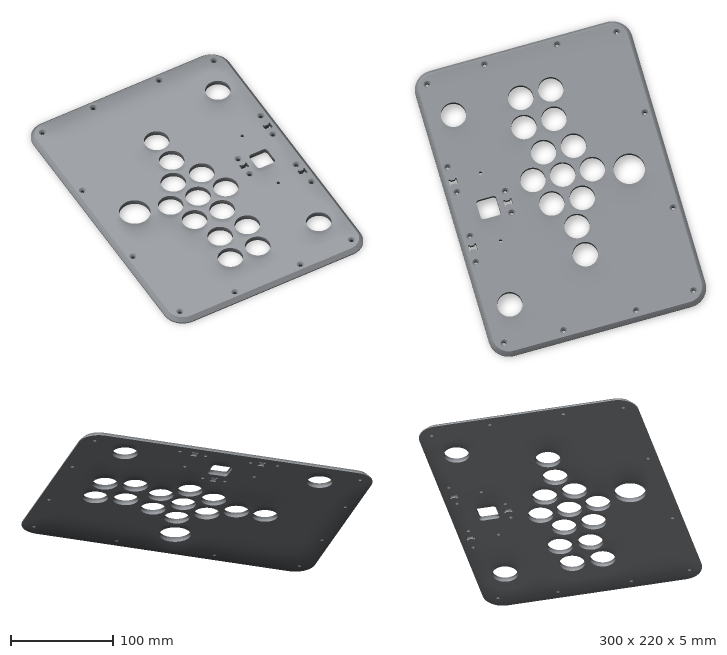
import cadquery as cq

length = 300.0
width = 220.0
thickness = 5.0
corner_radius = 20.0
bevel_inset = 4.0
bevel_height = 4.0

button_diameter = 25.0
large_button_diameter = 31.0
button_centers = [
    (-71.5, -4.8), (-41.7, -4.8),
    (-13.0, 12.5), (15.0, 23.7), (39.3, 6.0),
    (-15.5, -17.7), (12.3, -5.7), (37.5, -24.0), (9.5, -35.0),
    (69.0, 17.5), (98.5, 12.3),
    (69.0, -13.2), (98.5, -18.3),
]
corner_button_x = 100.0
corner_button_y = 80.0
large_button_center = (0, -70.0)

screw_diameter = 3.3
countersink_diameter = 7.2
countersink_angle = 90
edge_screws = [(50.0, 100.2), (136.2, 96.3), (140.0, 37.0)]
upper_bracket_screw = (23.0, 98.5)
lower_bracket_screw = (11.5, 52.8)
pin_hole_diameter = 3.3
pin_hole = (35.7, 71.0)

window_side = 20.0
window_corner_radius = 3.0
window_center = (0, 73.2)

slot_width = 6.3
slot_height = 8.0
slot_waist_width = 4.0
slot_waist_height = 4.5
slot_offset = 34.5
slot_centers = [(-slot_offset, 99.0), (slot_offset, 99.0), (0, 53.0)]


def mirror_x(point):
    """Return the point and its mirror image across the YZ plane."""
    x, y = point
    return [(-x, y), (x, y)]


def mirror_xy(point):
    """Return the point repeated in all four quadrants."""
    x, y = point
    return mirror_x((x, y)) + mirror_x((x, -y))


def make_plate():
    """Rounded plate with a bevel around its upper edge."""
    plate = cq.Workplane("XY").box(length, width, thickness, centered=(True, True, False))
    plate = plate.edges("|Z").fillet(corner_radius)
    return plate.faces(">Z").chamfer(bevel_height, bevel_inset)


def round_cutter(points, diameter):
    """Through-cutting cylinders at the given points."""
    return cq.Workplane("XY").pushPoints(points).circle(diameter / 2).extrude(thickness)


def slot_cutter():
    """Two end bars joined by a narrower waist."""
    end_height = (slot_height - slot_waist_height) / 2
    end_offset = (slot_height - end_height) / 2
    end_centers = [(x, y + side * end_offset) for x, y in slot_centers for side in (-1, 1)]
    ends = cq.Workplane("XY").pushPoints(end_centers).rect(slot_width, end_height).extrude(thickness)
    waists = cq.Workplane("XY").pushPoints(slot_centers).rect(slot_waist_width, slot_height)
    return ends.union(waists.extrude(thickness))


def window_cutter():
    """Square prism with rounded corners."""
    window = cq.Workplane("XY").center(*window_center).rect(window_side, window_side)
    return window.extrude(thickness).edges("|Z").fillet(window_corner_radius)


small_buttons = button_centers + mirror_x((corner_button_x, corner_button_y))
screws = mirror_x(upper_bracket_screw) + mirror_x(lower_bracket_screw)
for screw in edge_screws:
    screws += mirror_xy(screw)

result = make_plate()
result = result.cut(round_cutter(small_buttons, button_diameter))
result = result.cut(round_cutter([large_button_center], large_button_diameter))
result = result.cut(round_cutter(mirror_x(pin_hole), pin_hole_diameter))
result = result.cut(window_cutter())
result = result.cut(slot_cutter())
result = (
    result.faces(">Z")
    .workplane(origin=(0, 0, thickness))
    .pushPoints(screws)
    .cskHole(screw_diameter, countersink_diameter, countersink_angle)
)